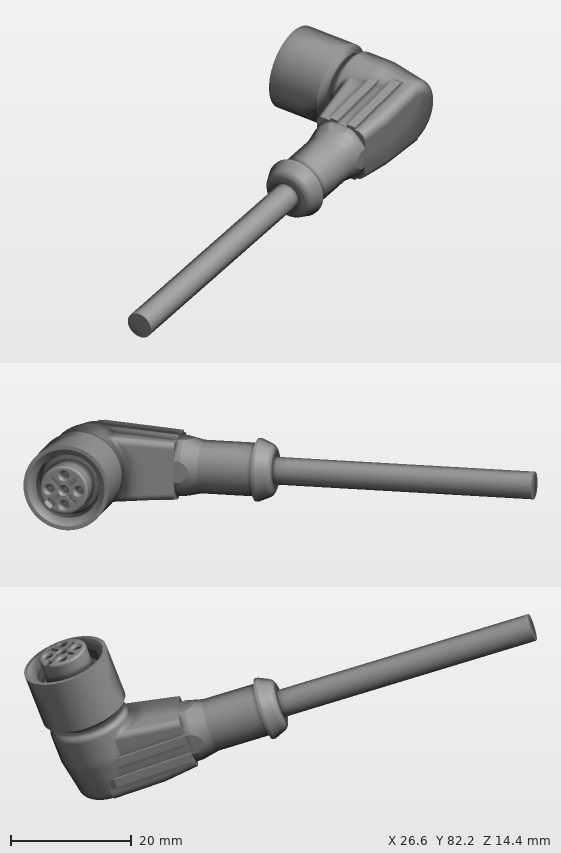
import cadquery as cq
import math


NUT_RADIUS = 7.22
NUT_FRONT_X = -19.35
NUT_CHAMFER_X = -9.85
NUT_BACK_X = -8.9
NUT_BACK_RADIUS = 6.0
NUT_MOUTH_RADIUS = 6.55
NUT_MOUTH_DEPTH = 0.4
THREAD_TOP_RADIUS = 6.15
THREAD_TAPER_DEPTH = 0.8
BORE_RADIUS = 5.4
BORE_END_X = -14.0

INSERT_FRONT_X = -21.1
INSERT_RADIUS = 4.1
INSERT_FILLET = 0.45
SHOULDER_RADIUS = 5.1
SHOULDER_X = -17.0
SHOULDER_FILLET = 0.75
CONTACT_CIRCLE_RADIUS = 2.5
CONTACT_MOUTH_RADIUS = 0.95
CONTACT_BORE_RADIUS = 0.6
CONTACT_DEPTH = 5.0
FACE_GROOVE_WIDTH = 0.7
FACE_GROOVE_DEPTH = 0.4
FACE_GROOVE_INNER = 1.0
FACE_GROOVE_OUTER = 2.9
KEY_WIDTH = 1.5
KEY_INNER = 2.6
KEY_FACE_OUTER = 4.1
KEY_FLOOR_OUTER = 3.5
KEY_DEPTH = 0.9
KEY_ANGLE = 225

NECK_RADIUS = 4.7
HEAD_FRONT_X = -8.0
HEAD_RADIUS = 6.78
HEAD_FRONT_FILLET = 0.9
HEAD_CYLINDER_END_X = -2.8
HEAD_TAPER_START_X = -1.8
HEAD_TAPER_ANGLE = math.radians(9.5)
HEAD_BACK_X = 5.5
HEAD_BACK_FILLET = 1.9

GRIP_END_Y = -14.85
GRIP_END_LEFT_X = -4.75
GRIP_END_RIGHT_X = 4.75
GRIP_LEFT_SLOPE = 0.14
GRIP_RIGHT_KINK_Y = -8.95
GRIP_END_HALF_HEIGHT = 4.85
GRIP_SIDE_SLOPE = 0.07
GRIP_LEFT_FILLET = 1.1
GRIP_HEAD_FILLET = 0.8
GRIP_RIGHT_FILLET = 1.6

RIB_HEIGHT = 0.5
FRONT_RIB_LEFT_X = -2.2
FRONT_RIB_RIGHT_X = -0.7
BACK_RIB_LEFT_X = 1.25
BACK_RIB_RIGHT_X = 2.8
BACK_RIB_TOP_Y = -1.35
BACK_RIB_FOOT_Y = -0.15

COLLAR_RADIUS = 5.1
COLLAR_FLAT_HALF_WIDTH = 4.77
COLLAR_TAPER_Y = -15.87
SLEEVE_START_Y = -18.8
SLEEVE_RADIUS = 4.45
FLANGE_START_Y = -28.0
FLANGE_TAPER_Y = -28.5
FLANGE_RADIUS = 5.25
FLANGE_ROUND_Y = -30.25
FLANGE_ROUND_RADIUS = 4.5
FLANGE_END_Y = -31.05
FLANGE_END_RADIUS = 3.6
CABLE_RADIUS = 2.3
CABLE_END_Y = -75.0

ORIGIN = (0, 0, 0)
X_AXIS = (1, 0, 0)
Y_AXIS = (0, 1, 0)


def axial_cylinder(start_x, end_x, radius, y=0, z=0):
    """Cylinder along X between two X positions."""
    return cq.Workplane("YZ", origin=(start_x, y, z)).circle(radius).extrude(end_x - start_x)


def make_nut():
    taper_start_x = NUT_FRONT_X + NUT_MOUTH_DEPTH
    outline = [
        (NUT_FRONT_X, NUT_MOUTH_RADIUS),
        (NUT_FRONT_X, NUT_RADIUS),
        (NUT_CHAMFER_X, NUT_RADIUS),
        (NUT_BACK_X, NUT_BACK_RADIUS),
        (NUT_BACK_X, 0),
        (BORE_END_X, 0),
        (BORE_END_X, BORE_RADIUS),
        (taper_start_x + THREAD_TAPER_DEPTH, BORE_RADIUS),
        (taper_start_x, THREAD_TOP_RADIUS),
    ]
    return cq.Workplane("XY").polyline(outline).close().revolve(360, ORIGIN, X_AXIS)


def make_insert():
    outline = [
        (INSERT_FRONT_X, 0),
        (INSERT_FRONT_X, INSERT_RADIUS),
        (SHOULDER_X, INSERT_RADIUS),
        (SHOULDER_X, SHOULDER_RADIUS),
        (BORE_END_X, SHOULDER_RADIUS),
        (BORE_END_X, 0),
    ]
    insert = cq.Workplane("XY").polyline(outline).close().revolve(360, ORIGIN, X_AXIS)
    insert = insert.faces("<X").edges().fillet(INSERT_FILLET)
    shoulder_rim = cq.selectors.RadiusNthSelector(-1)
    return insert.faces("<X[-2]").edges(shoulder_rim).fillet(SHOULDER_FILLET)


def radial_slot(inner, face_outer, floor_outer, width, depth, angle):
    """Cutter for a radial slot in the insert face; the angle runs from -Y towards +Z."""
    floor_x = INSERT_FRONT_X + depth
    side = [
        (INSERT_FRONT_X, -inner),
        (INSERT_FRONT_X, -face_outer),
        (floor_x, -floor_outer),
        (floor_x, -inner),
    ]
    slot = cq.Workplane("XY").polyline(side).close().extrude(width / 2, both=True)
    return slot.rotate(ORIGIN, X_AXIS, -angle)


def contact_hole(y, z):
    """Cutter for one contact hole with a 45 degree lead-in."""
    lead_in = CONTACT_MOUTH_RADIUS - CONTACT_BORE_RADIUS
    bore = axial_cylinder(INSERT_FRONT_X, INSERT_FRONT_X + CONTACT_DEPTH, CONTACT_BORE_RADIUS, y, z)
    face = cq.Workplane("YZ", origin=(INSERT_FRONT_X, y, z)).circle(CONTACT_MOUTH_RADIUS)
    cone = face.workplane(offset=lead_in).circle(CONTACT_BORE_RADIUS).loft()
    return bore.union(cone)


def cut_contact_face(part):
    centres = [(0, 0)]
    for angle in (0, 90, 180, 270):
        y = CONTACT_CIRCLE_RADIUS * math.cos(math.radians(angle))
        z = CONTACT_CIRCLE_RADIUS * math.sin(math.radians(angle))
        centres.append((y, z))
    for y, z in centres:
        part = part.cut(contact_hole(y, z))
    for angle in (45, 135, 225, 315):
        groove = radial_slot(
            FACE_GROOVE_INNER,
            FACE_GROOVE_OUTER,
            FACE_GROOVE_OUTER,
            FACE_GROOVE_WIDTH,
            FACE_GROOVE_DEPTH,
            angle,
        )
        part = part.cut(groove)
    key = radial_slot(KEY_INNER, KEY_FACE_OUTER, KEY_FLOOR_OUTER, KEY_WIDTH, KEY_DEPTH, KEY_ANGLE)
    return part.cut(key)


def make_head():
    blend_length = HEAD_TAPER_START_X - HEAD_CYLINDER_END_X
    taper_start_radius = HEAD_RADIUS - blend_length * math.tan(HEAD_TAPER_ANGLE / 2)
    taper_length = HEAD_BACK_X - HEAD_TAPER_START_X
    back_radius = taper_start_radius - taper_length * math.tan(HEAD_TAPER_ANGLE)
    outline = (
        cq.Workplane("XY")
        .moveTo(HEAD_FRONT_X, 0)
        .lineTo(HEAD_FRONT_X, HEAD_RADIUS)
        .lineTo(HEAD_CYLINDER_END_X, HEAD_RADIUS)
        .tangentArcPoint((HEAD_TAPER_START_X, taper_start_radius), relative=False)
        .lineTo(HEAD_BACK_X, back_radius)
        .lineTo(HEAD_BACK_X, 0)
        .close()
    )
    head = outline.revolve(360, ORIGIN, X_AXIS)
    head = head.faces("<X").edges().fillet(HEAD_FRONT_FILLET)
    return head.faces(">X").edges().fillet(HEAD_BACK_FILLET)


def grip_half_height(y):
    return GRIP_END_HALF_HEIGHT + GRIP_SIDE_SLOPE * (y - GRIP_END_Y)


def make_grip():
    left_x_at_axis = GRIP_END_LEFT_X + GRIP_LEFT_SLOPE * GRIP_END_Y
    plan = [
        (left_x_at_axis, 0),
        (GRIP_END_LEFT_X, GRIP_END_Y),
        (GRIP_END_RIGHT_X, GRIP_END_Y),
        (HEAD_BACK_X, GRIP_RIGHT_KINK_Y),
        (HEAD_BACK_X, 0),
    ]
    grip = cq.Workplane("XY").polyline(plan).close().extrude(HEAD_RADIUS, both=True)
    side = [
        (0, -grip_half_height(0)),
        (0, grip_half_height(0)),
        (GRIP_END_Y, grip_half_height(GRIP_END_Y)),
        (GRIP_END_Y, -grip_half_height(GRIP_END_Y)),
    ]
    wedge = cq.Workplane("YZ").polyline(side).close().extrude(2 * HEAD_RADIUS, both=True)
    grip = grip.intersect(wedge)
    reach = 2 * HEAD_RADIUS
    left_box = cq.selectors.BoxSelector((-reach, GRIP_END_Y, -reach), (GRIP_END_LEFT_X, 0, reach))
    grip = grip.edges(left_box).edges("not |Z").fillet(GRIP_LEFT_FILLET)
    right_box = cq.selectors.BoxSelector((GRIP_END_RIGHT_X, GRIP_END_Y, -reach), (reach, 0, reach))
    return grip.edges(right_box).edges("not |Z").fillet(GRIP_RIGHT_FILLET)


def join_grip_to_head(head, grip):
    """Join the two and round the corner where the left face of the grip leaves the head."""
    body = head.union(grip)
    corner_x = GRIP_END_LEFT_X + GRIP_LEFT_SLOPE * (GRIP_END_Y + HEAD_RADIUS)
    corner = cq.selectors.NearestToPointSelector((corner_x, -HEAD_RADIUS, 0))
    return body.edges(corner).fillet(GRIP_HEAD_FILLET)


def make_rib(left_x, right_x, top_y, foot_y):
    """Pair of ribs, one on each broad face, following the draft of the grip."""
    side = [
        (GRIP_END_Y, 0),
        (GRIP_END_Y, grip_half_height(GRIP_END_Y) + RIB_HEIGHT),
        (top_y, grip_half_height(top_y) + RIB_HEIGHT),
        (foot_y, grip_half_height(foot_y)),
        (foot_y, 0),
    ]
    rib = cq.Workplane("YZ", origin=(left_x, 0, 0)).polyline(side).close().extrude(right_x - left_x)
    return rib.union(rib.mirror("XY"))


def make_strain_relief():
    outline = (
        cq.Workplane("XY")
        .moveTo(0, GRIP_END_Y)
        .lineTo(COLLAR_RADIUS, GRIP_END_Y)
        .lineTo(COLLAR_RADIUS, COLLAR_TAPER_Y)
        .lineTo(SLEEVE_RADIUS, SLEEVE_START_Y)
        .lineTo(SLEEVE_RADIUS, FLANGE_START_Y)
        .lineTo(0, FLANGE_START_Y)
        .close()
    )
    sleeve = outline.revolve(360, ORIGIN, Y_AXIS)
    flat_width = 2 * COLLAR_FLAT_HALF_WIDTH
    square = cq.Workplane("XZ").rect(flat_width, flat_width).extrude(-CABLE_END_Y)
    return sleeve.intersect(square)


def make_flange():
    outline = (
        cq.Workplane("XY")
        .moveTo(0, FLANGE_START_Y)
        .lineTo(FLANGE_RADIUS, FLANGE_START_Y)
        .lineTo(FLANGE_RADIUS, FLANGE_TAPER_Y)
        .lineTo(FLANGE_ROUND_RADIUS, FLANGE_ROUND_Y)
        .tangentArcPoint((FLANGE_END_RADIUS, FLANGE_END_Y), relative=False)
        .lineTo(0, FLANGE_END_Y)
        .close()
    )
    return outline.revolve(360, ORIGIN, Y_AXIS)


def make_cable():
    cable_length = FLANGE_END_Y - CABLE_END_Y
    return cq.Workplane("XZ", origin=(0, FLANGE_END_Y, 0)).circle(CABLE_RADIUS).extrude(cable_length)


front_rib = make_rib(FRONT_RIB_LEFT_X, FRONT_RIB_RIGHT_X, BACK_RIB_TOP_Y, BACK_RIB_FOOT_Y)
back_rib = make_rib(BACK_RIB_LEFT_X, BACK_RIB_RIGHT_X, BACK_RIB_TOP_Y, BACK_RIB_FOOT_Y)

result = (
    join_grip_to_head(make_head(), make_grip())
    .union(front_rib)
    .union(back_rib)
    .union(axial_cylinder(NUT_BACK_X, HEAD_FRONT_X, NECK_RADIUS))
    .union(make_nut())
    .union(cut_contact_face(make_insert()))
    .union(make_strain_relief())
    .union(make_flange())
    .union(make_cable())
)